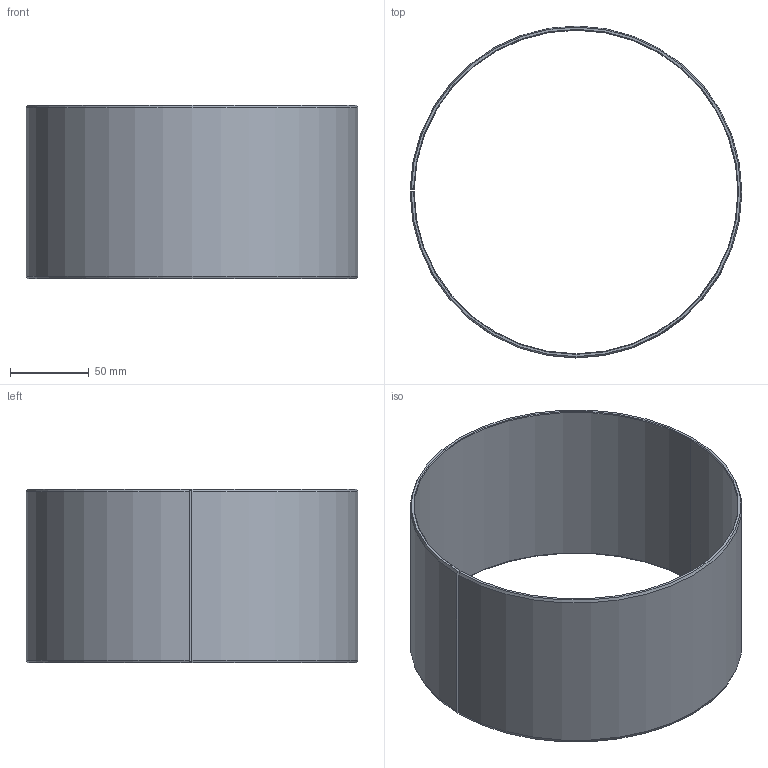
import cadquery as cq
import math

outer_diameter = 210.0
height = 110.0
wall_thickness = 2.5
outer_chamfer_height = 1.8
outer_chamfer_angle = 20.0
inner_chamfer_height = 0.6
inner_chamfer_angle = 30.0
slit_angle = 1.0

outer_radius = outer_diameter / 2
inner_radius = outer_radius - wall_thickness
outer_chamfer_depth = outer_chamfer_height * math.tan(math.radians(outer_chamfer_angle))
inner_chamfer_depth = inner_chamfer_height * math.tan(math.radians(inner_chamfer_angle))


def make_outer_body():
    """Solid cylinder with both outer rims chamfered."""
    body = cq.Workplane("XY").circle(outer_radius).extrude(height)
    return body.faces("<Z or >Z").edges().chamfer(outer_chamfer_height, outer_chamfer_depth)


def make_flared_end(base, direction):
    """Cone frustum that chamfers the bore from the end plane Z = base; direction points inward."""
    mouth = cq.Workplane("XY", origin=(0, 0, base)).circle(inner_radius + inner_chamfer_depth)
    return mouth.workplane(offset=direction * inner_chamfer_height).circle(inner_radius).loft()


def make_bore():
    """Full-height bore cutter, flared outward at both ends."""
    bore = cq.Workplane("XY").circle(inner_radius).extrude(height)
    return bore.union(make_flared_end(0, 1)).union(make_flared_end(height, -1))


def make_slit():
    """Full-height wedge with its tip on the Z axis, opening from the -X axis toward +Y."""
    reach = 2 * outer_radius
    opening = reach * math.tan(math.radians(slit_angle))
    wedge = cq.Workplane("XY").polyline([(0, 0), (-reach, 0), (-reach, opening)]).close()
    return wedge.extrude(height)


result = make_outer_body().cut(make_bore()).cut(make_slit())